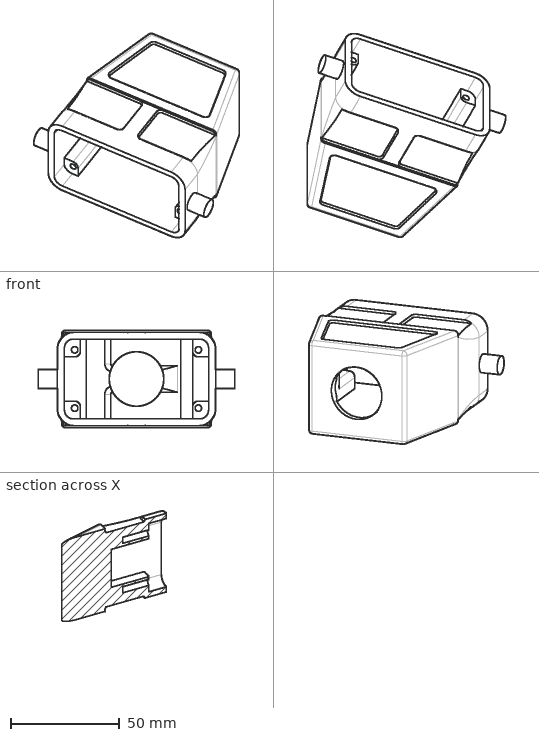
import cadquery as cq
import math

total_x = 90.6
total_y = 72.0
total_z = 45.0

draft_angle = 15.0
draft_tangent = math.tan(math.radians(draft_angle))

collar_x = 72.8
collar_z = 42.85
collar_depth = 11.1
collar_radius = 7.5
neck_end_y = 31.6
neck_mid_radius = 5.7

hood_start = 32.0
hood_taper_start = 32.4
hood_base_x = 68.9
hood_end_x = hood_base_x - 2 * draft_tangent * (total_y - hood_taper_start)
hood_radius = 2.0

cavity_x = 66.3
cavity_z = 36.8
cavity_radius = 4.2
floor_y = 68.9
floor_left_x = -23.1
floor_right_x = 20.5

step_height = 2.7
upper_floor_y = floor_y - step_height
step_x = -11.9
rib_width = 12.1
rib_end_x = 18.75
valley_radius = 0.9

post_x = 7.3
post_z = 8.2
post_radius = 2.7
post_front_y = 9.1
screw_x = 28.45
screw_z = 13.4
screw_diameter = 3.0
screw_depth = 13.6
pin_diameter = 8.8
pin_y = 6.3
entry_diameter = 25.0

post_side_x = cavity_x / 2 - post_x
shoulder_y = upper_floor_y - (cavity_x / 2 + floor_left_x) / draft_tangent
right_slope_start = floor_y - (post_side_x - floor_right_x) / draft_tangent

panel_depth = 1.2
panel_draft = 25.0
panel_radius = 2.3
strip_x = 7.8
label_start = 37.0
label_end = 67.0
label_base_x = 54.9
label_end_x = 39.3


def section_at(y):
    """Workplane across the Y axis whose local axes are X and Z; it extrudes towards -Y."""
    return cq.Workplane("XZ", origin=(0, y, 0))


def both_sides(body):
    """The body together with its mirror image below the XY plane."""
    return body.union(body.mirror("XY"))


def neck():
    """Collar and neck; the corner radius shrinks as the sides close in."""
    mid_y = (collar_depth + neck_end_y) / 2
    sections = (
        (collar_depth, collar_x, collar_radius),
        (mid_y, (collar_x + hood_base_x) / 2, neck_mid_radius),
        (neck_end_y, hood_base_x, hood_radius),
    )
    outlines = [
        cq.Sketch().rect(size_x, collar_z).vertices().fillet(radius)
        for y, size_x, radius in sections
    ]
    placed = [
        outline.moved(cq.Location(cq.Vector(0, 0, -y)))
        for outline, (y, size_x, radius) in zip(outlines, sections)
    ]
    collar = section_at(collar_depth).placeSketch(outlines[0]).extrude(collar_depth)
    taper = section_at(0).placeSketch(*placed).loft()
    band = section_at(hood_start).placeSketch(outlines[-1]).extrude(hood_start - neck_end_y)
    return collar.union(taper).union(band)


def hood():
    """Block with tapering sides, rounded on every edge except around its base."""
    half_base = hood_base_x / 2
    half_end = hood_end_x / 2
    outline = [
        (-half_base, hood_start),
        (half_base, hood_start),
        (half_base, hood_taper_start),
        (half_end, total_y),
        (-half_end, total_y),
        (-half_base, hood_taper_start),
    ]
    block = cq.Workplane("XY").polyline(outline).close().extrude(total_z / 2, both=True)
    return block.edges(">Y or (not (|X or |Z))").fillet(hood_radius)


def neck_panels():
    """Recesses either side of the central strip, running out past the neck sides."""
    length = hood_start - collar_depth
    centre_x = (strip_x + collar_x) / 2
    centre_y = collar_depth + length / 2
    recess = (
        cq.Workplane("XY", origin=(0, 0, collar_z / 2))
        .pushPoints([(-centre_x, centre_y), (centre_x, centre_y)])
        .placeSketch(cq.Sketch().rect(collar_x, length).vertices().fillet(panel_radius))
        .extrude(-panel_depth, taper=panel_draft)
    )
    return both_sides(recess)


def label_panels():
    """Shallow trapezoid recess in each broad face of the hood."""
    half_base = label_base_x / 2
    half_end = label_end_x / 2
    outline = cq.Sketch().polygon([
        (-half_base, label_start),
        (half_base, label_start),
        (half_end, label_end),
        (-half_end, label_end),
        (-half_base, label_start),
    ]).vertices().fillet(panel_radius)
    recess = (
        cq.Workplane("XY", origin=(0, 0, total_z / 2))
        .placeSketch(outline)
        .extrude(-panel_depth, taper=panel_draft)
    )
    return both_sides(recess)


def cavity():
    half_x = cavity_x / 2
    outline = [
        (-half_x, 0),
        (-half_x, shoulder_y),
        (floor_left_x, upper_floor_y),
        (step_x - step_height, upper_floor_y),
        (step_x, floor_y),
        (floor_right_x, floor_y),
        (post_side_x, right_slope_start),
        (post_side_x, shoulder_y),
        (half_x, shoulder_y),
        (half_x, 0),
    ]
    space = cq.Workplane("XY").polyline(outline).close().extrude(cavity_z / 2, both=True)
    return space.edges("|Y and (<X or >X)").fillet(cavity_radius)


def floor_rib():
    """Rib with 45-degree sides that starts at the step and ramps down to the floor."""
    start_x = step_x - step_height
    ramp_length = step_height / draft_tangent
    half_foot = rib_width / 2
    half_top = half_foot - step_height
    lengthwise = (
        cq.Workplane("XY")
        .polyline([
            (start_x, floor_y),
            (start_x, upper_floor_y),
            (rib_end_x - ramp_length, upper_floor_y),
            (rib_end_x, floor_y),
        ])
        .close()
        .extrude(half_foot, both=True)
    )
    crosswise = (
        cq.Workplane("YZ", origin=(start_x, 0, 0))
        .polyline([
            (floor_y, -half_foot),
            (upper_floor_y, -half_top),
            (upper_floor_y, half_top),
            (floor_y, half_foot),
        ])
        .close()
        .extrude(rib_end_x - start_x)
    )
    return lengthwise.intersect(crosswise)


def rib_valleys():
    """Fill with a conical face that rounds each valley between the rib and the floor step."""
    top_radius = valley_radius + step_height
    axis_x = step_x + valley_radius
    axis_z = rib_width / 2 + valley_radius
    block = (
        section_at(floor_y)
        .center(axis_x - top_radius / 2, axis_z - top_radius / 2)
        .rect(top_radius, top_radius)
        .extrude(step_height)
    )
    cone = cq.Solid.makeCone(
        valley_radius,
        top_radius,
        step_height,
        pnt=cq.Vector(axis_x, floor_y, axis_z),
        dir=cq.Vector(0, -1, 0),
    )
    return both_sides(block.cut(cq.Workplane(cone)))


def posts():
    """One post in each corner of the cavity, rounded towards the middle."""
    corner = (
        section_at(floor_y)
        .center((cavity_x - post_x) / 2, (cavity_z - post_z) / 2)
        .rect(post_x, post_z)
        .extrude(floor_y - post_front_y)
        .edges("|Y and <X and <Z")
        .fillet(post_radius)
    )
    right_pair = both_sides(corner)
    return right_pair.union(right_pair.mirror("YZ"))


def screw_holes():
    return (
        section_at(post_front_y)
        .rect(2 * screw_x, 2 * screw_z, forConstruction=True)
        .vertices()
        .circle(screw_diameter / 2)
        .extrude(-screw_depth)
    )


def pins():
    return (
        cq.Workplane("YZ")
        .center(pin_y, 0)
        .circle(pin_diameter / 2)
        .extrude(total_x / 2, both=True)
    )


def cable_entry():
    return section_at(total_y).circle(entry_diameter / 2).extrude(total_y - shoulder_y)


outer = neck().cut(neck_panels()).union(hood()).cut(label_panels())
shell = outer.union(pins()).cut(cavity())
fittings = posts().intersect(outer).union(floor_rib()).union(rib_valleys())
result = shell.union(fittings).cut(screw_holes()).cut(cable_entry())